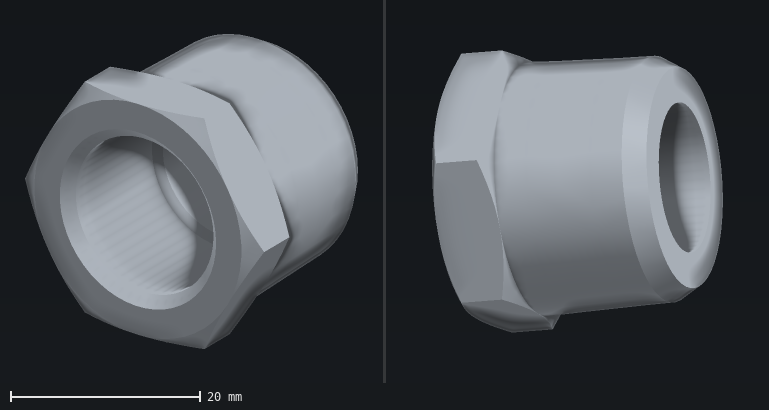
import cadquery as cq
import math

ACROSS_CORNERS = 31.18
HEAD_LENGTH = 6.98
HEAD_CHAMFER_ANGLE = 30.0
TOTAL_LENGTH = 23.5

SHANK_TIP_RADIUS = 13.1
TIP_CHAMFER_LENGTH = 2.3
TIP_FACE_RADIUS = 11.75

BORE_MOUTH_RADIUS = 10.2
BORE_RADIUS = 8.98
BORE_DEPTH = 15.0
THROUGH_RADIUS = 7.98
SHOULDER_ANGLE = 60.0

corner_radius = ACROSS_CORNERS / 2
flat_radius = corner_radius * math.cos(math.radians(30))
head_chamfer_length = (corner_radius - flat_radius) * math.tan(math.radians(HEAD_CHAMFER_ANGLE))


def revolved(profile):
    """Revolve a closed (radius, y) profile about the Y axis."""
    return cq.Workplane("XY").polyline(profile).close().revolve(360, (0, 0, 0), (0, 1, 0))


def hexagon_head():
    """Hexagon with corners on the X axis, both ends chamfered to the circle across the flats."""
    hexagon = cq.Workplane("XZ").polygon(6, ACROSS_CORNERS).extrude(-HEAD_LENGTH)
    envelope = revolved([
        (0, 0),
        (flat_radius, 0),
        (corner_radius, head_chamfer_length),
        (corner_radius, HEAD_LENGTH - head_chamfer_length),
        (flat_radius, HEAD_LENGTH),
        (0, HEAD_LENGTH),
    ])
    return hexagon.intersect(envelope)


def tapered_shank():
    """Shank that starts at the circle across the flats and narrows to the chamfered tip."""
    return revolved([
        (0, HEAD_LENGTH),
        (flat_radius, HEAD_LENGTH),
        (SHANK_TIP_RADIUS, TOTAL_LENGTH - TIP_CHAMFER_LENGTH),
        (TIP_FACE_RADIUS, TOTAL_LENGTH),
        (0, TOTAL_LENGTH),
    ])


def stepped_bore():
    """Bore with a 45 degree mouth chamfer and a conical shoulder down to the through hole."""
    mouth_chamfer = BORE_MOUTH_RADIUS - BORE_RADIUS
    shoulder_length = (BORE_RADIUS - THROUGH_RADIUS) / math.tan(math.radians(SHOULDER_ANGLE))
    return revolved([
        (0, 0),
        (BORE_MOUTH_RADIUS, 0),
        (BORE_RADIUS, mouth_chamfer),
        (BORE_RADIUS, BORE_DEPTH),
        (THROUGH_RADIUS, BORE_DEPTH + shoulder_length),
        (THROUGH_RADIUS, TOTAL_LENGTH),
        (0, TOTAL_LENGTH),
    ])


result = hexagon_head().union(tapered_shank()).cut(stepped_bore())